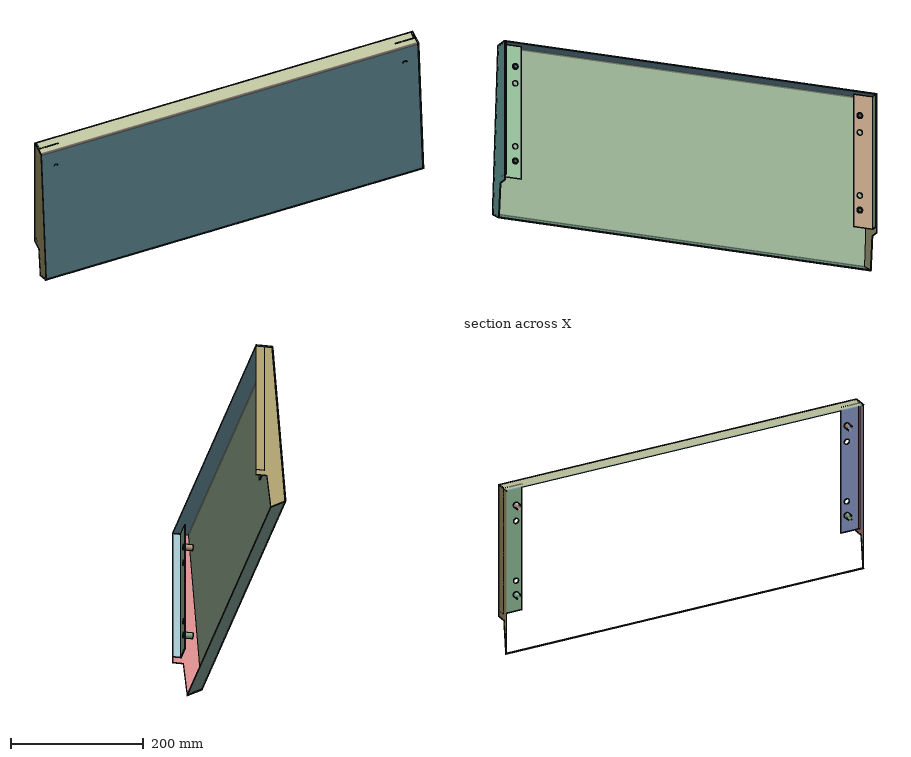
import cadquery as cq

LENGTH = 612.0
DEPTH = 46.0
HEIGHT = 275.5
TOP_Z = HEIGHT / 2
BOTTOM_Z = -HEIGHT / 2

SHEET = 1.5
BEND_INNER_RADIUS = 0.5
TOP_DEPTH = 26.0
PANEL_BOTTOM_Z = -125.0
LIP_TIP_X = 22.5
NOTCH_X = 16.5
NOTCH_Z = -84.0

BRACKET_SHEET = 1.5
BRACKET_BOTTOM_Z = -74.5
BRACKET_WIDTH = 32.0
FLANGE_X = 11.5

HOLE_EDGE_DISTANCE = 23.0
HOLE_Y = LENGTH / 2 - HOLE_EDGE_DISTANCE
INSERT_HEIGHTS = (103.5, -47.0)
PLAIN_HOLE_HEIGHTS = (76.5, -24.0)
PLAIN_HOLE_DIAMETER = 8.5

INSERT_DIAMETER = 9.0
INSERT_BORE = 6.0
INSERT_LENGTH = 14.5

SIDES = (-1, 1)


def extrude_across(outline, length):
    """Extrude an XZ outline along Y, centred on Y = 0."""
    return outline.extrude(length / 2, both=True)


def round_bends(prism, radius):
    """Round the bend from top to panel, then the bend from panel to lip."""
    prism = prism.faces(">Z").edges(">X").fillet(radius)
    return prism.edges("|Y").edges(">X").fillet(radius)


def make_cover():
    side_outline = cq.Workplane("XZ").polyline([
        (0, TOP_Z),
        (TOP_DEPTH, TOP_Z),
        (DEPTH, PANEL_BOTTOM_Z),
        (LIP_TIP_X, BOTTOM_Z),
        (NOTCH_X, NOTCH_Z),
        (0, NOTCH_Z),
    ]).close()
    open_x = -DEPTH
    lip_slope = (PANEL_BOTTOM_Z - BOTTOM_Z) / (DEPTH - LIP_TIP_X)
    cavity_outline = cq.Workplane("XZ").polyline([
        (open_x, TOP_Z),
        (TOP_DEPTH, TOP_Z),
        (DEPTH, PANEL_BOTTOM_Z),
        (open_x, BOTTOM_Z + lip_slope * (open_x - LIP_TIP_X)),
    ]).close().offset2D(-SHEET, "intersection")
    body = round_bends(extrude_across(side_outline, LENGTH), BEND_INNER_RADIUS + SHEET)
    cavity = round_bends(extrude_across(cavity_outline, LENGTH - 2 * SHEET), BEND_INNER_RADIUS)
    return body.cut(cavity)


def flange_cylinders(side, heights, diameter, length):
    """Cylinders along +X that start on the front face of one bracket flange."""
    return (
        cq.Workplane("YZ", origin=(FLANGE_X, 0, 0))
        .pushPoints([(side * HOLE_Y, z) for z in heights])
        .circle(diameter / 2)
        .extrude(length)
    )


def make_bracket(side):
    outer_y = side * (LENGTH / 2 - SHEET)
    leg_y = outer_y - side * BRACKET_SHEET
    flange_y = outer_y - side * BRACKET_WIDTH
    back_x = FLANGE_X + BRACKET_SHEET
    bracket = (
        cq.Workplane("XY", origin=(0, 0, BRACKET_BOTTOM_Z))
        .polyline([
            (0, outer_y),
            (back_x, outer_y),
            (back_x, flange_y),
            (FLANGE_X, flange_y),
            (FLANGE_X, leg_y),
            (0, leg_y),
        ])
        .close()
        .extrude(TOP_Z - SHEET - BRACKET_BOTTOM_Z)
    )
    plain_holes = flange_cylinders(side, PLAIN_HOLE_HEIGHTS, PLAIN_HOLE_DIAMETER, BRACKET_SHEET)
    insert_holes = flange_cylinders(side, INSERT_HEIGHTS, INSERT_DIAMETER, BRACKET_SHEET)
    return bracket.cut(plain_holes).cut(insert_holes)


def make_inserts(side):
    sleeves = flange_cylinders(side, INSERT_HEIGHTS, INSERT_DIAMETER, INSERT_LENGTH)
    bores = flange_cylinders(side, INSERT_HEIGHTS, INSERT_BORE, INSERT_LENGTH)
    return sleeves.cut(bores)


cover = make_cover()
brackets = [make_bracket(side).val() for side in SIDES]
inserts = [insert for side in SIDES for insert in make_inserts(side).solids().vals()]

result = cq.Compound.makeCompound([cover.val(), *brackets, *inserts])